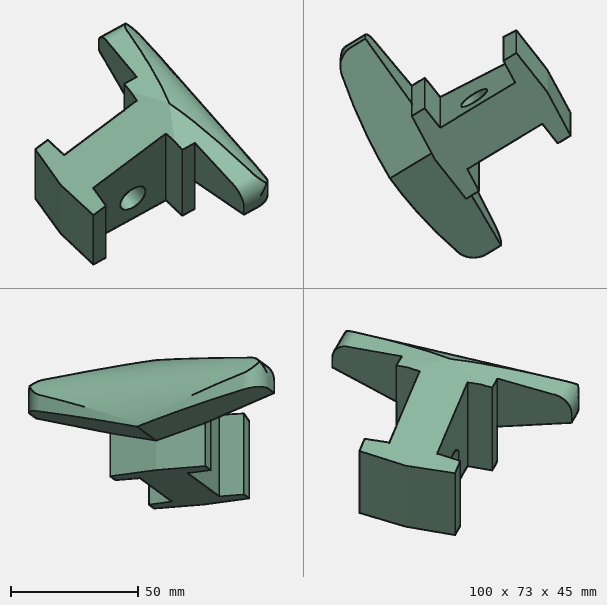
import cadquery as cq
import math

head_length = 100.0
total_depth = 73.0
total_height = 45.0
half_head = head_length / 2

stem_depth = 52.0
half_flange = 20.0
half_web = 10.0
flange_thickness = 9.5
face_slope = math.tan(math.radians(5))
roof_drop = stem_depth * math.tan(math.radians(15))

tip_radius = 8.0
tip_center_x = half_head - tip_radius
tip_center_z = 31.0
back_radius = 200.0
back_corner_radius = 9.0
keel_height = 12.0
wing_underside_height = 26.0
head_front_y = stem_depth - 2 * half_flange * face_slope

crown_radius = 34.0
crown_center_y = total_depth - crown_radius
crown_center_z = total_height - math.sqrt(crown_radius**2 - (stem_depth - crown_center_y) ** 2)

hole_y = 27.6
hole_z = 13.0
hole_mouth_radius = 6.0
hole_waist_radius = hole_mouth_radius - half_web * face_slope


def mirrored(half):
    """Join a half on the +X side to its mirror image."""
    return half.union(half.mirror("YZ"))


def make_stem():
    """Vertical prism with an I-shaped plan."""
    rear_flange_y = stem_depth - flange_thickness
    half_plan = [
        (0, 0),
        (half_flange, half_flange * face_slope),
        (half_flange, flange_thickness - half_flange * face_slope),
        (half_web, flange_thickness - half_web * face_slope),
        (half_web, rear_flange_y + half_web * face_slope),
        (half_flange, rear_flange_y + half_flange * face_slope),
        (half_flange, stem_depth - half_flange * face_slope),
        (0, stem_depth),
    ]
    return mirrored(cq.Workplane("XY").polyline(half_plan).close().extrude(total_height))


def make_head():
    """Vertical prism with a bowed back, rounded ends and a V-shaped underside."""
    back_center_y = total_depth - back_radius
    corner_x = half_head - back_corner_radius
    center_distance = back_radius - back_corner_radius
    tangent_angle = math.asin(corner_x / center_distance)
    corner_y = back_center_y + center_distance * math.cos(tangent_angle)

    def corner_point(angle):
        """Point on the corner arc, with the angle measured from +Y towards +X."""
        return (
            corner_x + back_corner_radius * math.sin(angle),
            corner_y + back_corner_radius * math.cos(angle),
        )

    back_mid = (
        back_radius * math.sin(tangent_angle / 2),
        back_center_y + back_radius * math.cos(tangent_angle / 2),
    )
    half_plan = (
        cq.Workplane("XY")
        .moveTo(0, head_front_y)
        .lineTo(half_head, head_front_y + half_head * face_slope)
        .lineTo(half_head, corner_y)
        .threePointArc(corner_point(math.radians(45)), corner_point(tangent_angle))
        .threePointArc(back_mid, (0, total_depth))
        .close()
        .extrude(total_height)
    )
    underside = (
        cq.Workplane("XZ")
        .polyline([(0, 0), (half_head, 0), (half_head, wing_underside_height), (0, keel_height)])
        .close()
        .extrude(-total_depth)
    )
    return mirrored(half_plan.cut(underside))


def make_gable():
    """Front elevation: ridge falling to rounded tips."""
    diagonal = tip_radius * math.sqrt(0.5)
    half_gable = (
        cq.Workplane("XZ")
        .lineTo(half_head, 0)
        .lineTo(half_head, tip_center_z)
        .threePointArc(
            (tip_center_x + diagonal, tip_center_z + diagonal),
            (tip_center_x, tip_center_z + tip_radius),
        )
        .lineTo(0, total_height)
        .close()
        .extrude(-total_depth)
    )
    return mirrored(half_gable)


def make_side_envelope():
    """Side elevation: sloping roof over the stem and crowned back."""
    apex_angle = math.acos((stem_depth - crown_center_y) / crown_radius)
    mid_angle = apex_angle / 2
    return (
        cq.Workplane("YZ")
        .lineTo(total_depth, 0)
        .lineTo(total_depth, crown_center_z)
        .threePointArc(
            (
                crown_center_y + crown_radius * math.cos(mid_angle),
                crown_center_z + crown_radius * math.sin(mid_angle),
            ),
            (stem_depth, total_height),
        )
        .lineTo(0, total_height - roof_drop)
        .close()
        .extrude(half_head, both=True)
    )


def make_cross_hole():
    """Two cones drafted from the web faces, meeting at the symmetry plane."""
    half_hole = (
        cq.Workplane("YZ")
        .center(hole_y, hole_z)
        .circle(hole_waist_radius)
        .workplane(offset=half_web)
        .circle(hole_mouth_radius)
        .loft()
    )
    return mirrored(half_hole)


body = make_stem().union(make_head())
body = body.intersect(make_gable()).intersect(make_side_envelope())
result = body.cut(make_cross_hole())